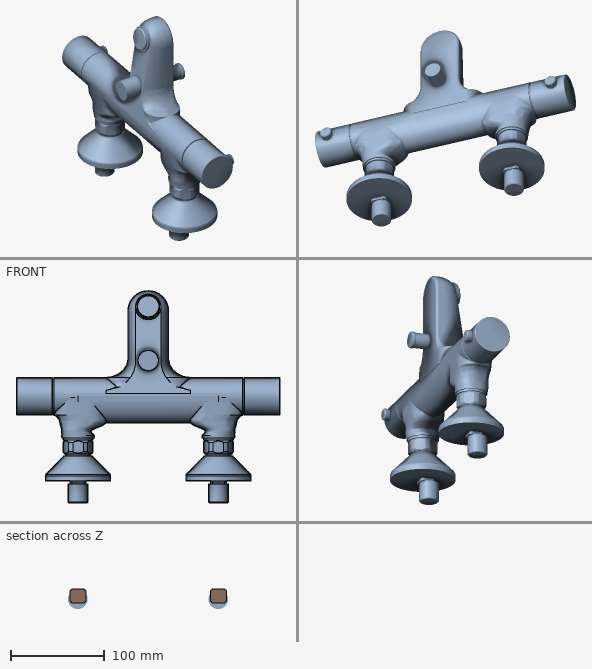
import cadquery as cq
import math


TOTAL_LENGTH = 281.88
BODY_DIAMETER = 40.0
BODY_HALF_LENGTH = 100.6
BELLY_DEPTH = 28.5
KNOB_DIAMETER = 39.6
KNOB_EDGE = 0.6
GROOVE_WIDTH = 1.6
GROOVE_DIAMETER = 37.0

PIN_OFFSET_X = 127.0
PIN_DIAMETER = 12.6
PIN_TIP_Y = 26.2
PIN_EDGE = 1.0

COLUMN_RADIUS = 21.8
COLUMN_TOP_Z = 112.7
DOME_CENTER_Z = COLUMN_TOP_Z - COLUMN_RADIUS
COLUMN_BACK_Y = 20.3
COLUMN_SIDE_END_Y = 11.0
COLUMN_BACK_EDGE = 3.0
FACE_HALF_WIDTH = 13.5
FACE_FOOT_Y = -20.0
FACE_FOOT_Z = 3.0
FACE_HEAD_Y = -6.0
FLARE_HEIGHT = 20.0
FLARE_CENTER_Z = BODY_DIAMETER / 2 + FLARE_HEIGHT
FLARE_HALF_WIDTH = 45.6
FLARE_RUN = FLARE_HALF_WIDTH - COLUMN_RADIUS
FLARE_BACK_RADIUS = 18.0
FLARE_SIDE_END_Y = 1.0
FACE_FOOT_HALF_WIDTH = 45.2
FACE_FLARE_RADIUS = FACE_FOOT_HALF_WIDTH - FACE_HALF_WIDTH
FACE_FLARE_CENTER_Z = 38.0
FLARE_STEPS = 5

SPOUT_Z = 38.1
SPOUT_DIAMETER = 21.8
SPOUT_TIP_Y = -32.6
OUTLET_NECK_DIAMETER = 11.2
OUTLET_NECK_END_Y = 22.7
OUTLET_DIAMETER = 16.5
OUTLET_TIP_Y = 42.42
OUTLET_RIM_DIAMETER = 18.0
OUTLET_RIM_LENGTH = 4.4
OUTLET_RIM_EDGE = 1.2
BUTTON_Z = 95.2
BUTTON_BASE_DIAMETER = 27.1
BUTTON_BASE_HEIGHT = 2.5
BUTTON_CAP_DIAMETER = 24.5
BUTTON_HEIGHT = 5.4
BUTTON_CAP_EDGE = 0.8
BUTTON_ROOT = 5.0

LEG_SPACING = 150.0
LEG_TOP_Z = -1.4
LEG_BOTTOM_Z = -44.8
LEG_FOOT_RADIUS = 17.4
LEG_FOOT_HALF_DEPTH = 17.4
LEG_TOP_SQUARENESS = 1.6
LEG_OUTLINE_STEPS = 12
LEG_TOP_HALF_DEPTH = 19.8
LEG_FILLET_BOTTOM_Z = -42.0
LEG_OUTER_RUN = 8.6
LEG_INNER_RUN = 13.8
LEG_STEPS = 4

COLLAR_DIAMETER = 32.0
NUT_TOP_Z = -47.0
NUT_BOTTOM_Z = -61.7
NUT_ACROSS_FLATS = 30.0
NUT_CORNER_DIAMETER = 32.0
NUT_END_DIAMETER = 29.0
NUT_BEVEL_HEIGHT = 2.4
SEAT_DIAMETER = 27.1
ROSETTE_TOP_Z = -63.6
ROSETTE_TOP_DIAMETER = 29.8
ROSETTE_SHOULDER_Z = -83.6
ROSETTE_SHOULDER_DIAMETER = 69.0
ROSETTE_DIAMETER = 70.0
ROSETTE_LIP_Z = -85.0
ROSETTE_BOTTOM_Z = -90.5
PIPE_TOP_Z = -93.6
PIPE_BOTTOM_Z = -114.0
PIPE_DIAMETER = 20.95
PIPE_OFFSET_Y = -7.1
PIPE_EDGE = 0.8
NECK_WIDTH = 17.2
NECK_DEPTH = 15.7
NECK_CORNER = 2.1
NECK_OFFSET_Y = -3.4

FACE_SLOPE = (FACE_HEAD_Y - FACE_FOOT_Y) / (DOME_CENTER_Z - FACE_FOOT_Z)


def rod_x(diameter, x_start, x_end):
    plane = cq.Workplane("YZ", origin=(x_start, 0, 0))
    return plane.circle(diameter / 2).extrude(x_end - x_start)


def rod_y(diameter, y_start, y_end, x=0.0, z=0.0):
    plane = cq.Workplane("XZ", origin=(x, y_start, z))
    return plane.circle(diameter / 2).extrude(y_start - y_end)


def rod_z(diameter, z_start, z_end, x=0.0, y=0.0):
    plane = cq.Workplane("XY", origin=(x, y, z_start))
    return plane.circle(diameter / 2).extrude(z_end - z_start)


def body():
    """Round bar between the knobs with a deeper half-elliptic belly between the legs."""
    bar = rod_x(BODY_DIAMETER, -BODY_HALF_LENGTH, BODY_HALF_LENGTH)
    belly = (
        cq.Workplane("YZ", origin=(-LEG_SPACING / 2, 0, 0))
        .ellipse(BODY_DIAMETER / 2, BELLY_DEPTH)
        .extrude(LEG_SPACING)
    )
    lower_half = cq.Workplane("XY").box(
        LEG_SPACING, BODY_DIAMETER, BELLY_DEPTH, centered=(True, True, False)
    ).translate((0, 0, -BELLY_DEPTH))
    return bar.union(belly.intersect(lower_half))


def knob(side):
    """End knob with its separating groove and the small button on its back."""
    knob_start = BODY_HALF_LENGTH + GROOVE_WIDTH
    grip = rod_x(KNOB_DIAMETER, knob_start, TOTAL_LENGTH / 2).edges().chamfer(KNOB_EDGE)
    core = rod_x(GROOVE_DIAMETER, BODY_HALF_LENGTH, knob_start)
    pin = rod_y(PIN_DIAMETER, 0, PIN_TIP_Y, x=PIN_OFFSET_X).faces(">Y").edges().chamfer(PIN_EDGE)
    right_knob = grip.union(core).union(pin)
    return right_knob if side > 0 else right_knob.mirror("YZ")


def face_y(z):
    """Y of the sloping front face at height z."""
    return FACE_FOOT_Y + FACE_SLOPE * (z - FACE_FOOT_Z)


def arc_middle(side_x, side_y, end_x, end_y):
    """Middle of the arc that leaves a side parallel to Y at one point and runs inwards to the other."""
    run = side_x - end_x
    depth = end_y - side_y
    radius = (run**2 + depth**2) / (2 * run)
    half_angle = math.atan2(run, abs(depth))
    x = side_x - radius * (1 - math.cos(half_angle))
    return x, side_y + math.copysign(radius * math.sin(half_angle), depth)


def column_section(z, half_width, face_half):
    """Closed horizontal outline: flat back, rounded back corners, bowed flanks, flat front."""
    front = face_y(z)
    flare_share = (half_width - COLUMN_RADIUS) / FLARE_RUN
    back_radius = COLUMN_BACK_EDGE + flare_share * (FLARE_BACK_RADIUS - COLUMN_BACK_EDGE)
    back_half = half_width - back_radius
    edge_y = COLUMN_BACK_Y - back_radius
    side_y = COLUMN_SIDE_END_Y + flare_share * (FLARE_SIDE_END_Y - COLUMN_SIDE_END_Y)
    arc_x, arc_y = arc_middle(half_width, side_y, face_half, front)
    outline = (
        cq.Workplane("XY", origin=(0, 0, z))
        .moveTo(-back_half, COLUMN_BACK_Y)
        .radiusArc((-half_width, edge_y), -back_radius)
        .lineTo(-half_width, side_y)
        .threePointArc((-arc_x, arc_y), (-face_half, front))
        .lineTo(face_half, front)
        .threePointArc((arc_x, arc_y), (half_width, side_y))
        .lineTo(half_width, edge_y)
        .radiusArc((back_half, COLUMN_BACK_Y), -back_radius)
        .close()
    )
    return outline.wires().val()


def flare_half_width(z):
    """Half width of the column outline: straight above, quarter ellipse onto the body below."""
    drop = min(max(FLARE_CENTER_Z - z, 0), FLARE_HEIGHT)
    return FLARE_HALF_WIDTH - FLARE_RUN * math.sqrt(1 - (drop / FLARE_HEIGHT) ** 2)


def face_half_width(z):
    """Half width of the flat front face, which spreads along an arc of its own."""
    drop = min(max(FACE_FLARE_CENTER_Z - z, 0), FACE_FLARE_RADIUS)
    return FACE_FOOT_HALF_WIDTH - math.sqrt(FACE_FLARE_RADIUS**2 - drop**2)


def column_loft(heights, ruled):
    sections = [column_section(z, flare_half_width(z), face_half_width(z)) for z in heights]
    return cq.Workplane(cq.Solid.makeLoft(sections, ruled))


def column_flare():
    """Trumpet foot that spreads the column onto the top of the body."""
    angles = [math.pi / 2 * step / FLARE_STEPS for step in range(FLARE_STEPS + 1)]
    upper_heights = [FLARE_CENTER_Z - FLARE_HEIGHT * math.sin(angle) for angle in angles]
    body_top = upper_heights[-1]
    drop = body_top - FACE_FOOT_Z
    lower_heights = [body_top - drop * math.sin(angle) for angle in angles]
    return column_loft(upper_heights, False).union(column_loft(lower_heights, True))


def behind_face():
    """Half space behind the sloping front face."""
    return (
        cq.Workplane("YZ", origin=(-BODY_HALF_LENGTH, 0, 0))
        .moveTo(face_y(0), 0)
        .lineTo(face_y(COLUMN_TOP_Z), COLUMN_TOP_Z)
        .lineTo(COLUMN_BACK_Y, COLUMN_TOP_Z)
        .lineTo(COLUMN_BACK_Y, 0)
        .close()
        .extrude(2 * BODY_HALF_LENGTH)
    )


def column_dome():
    """Top of the column: its cross-section turned about a Y axis."""
    arc_x, arc_y = arc_middle(COLUMN_RADIUS, COLUMN_SIDE_END_Y, FACE_HALF_WIDTH, FACE_HEAD_Y)
    edge_y = COLUMN_BACK_Y - COLUMN_BACK_EDGE
    edge_x = COLUMN_RADIUS - COLUMN_BACK_EDGE
    turned = (
        cq.Workplane("XY", origin=(0, 0, DOME_CENTER_Z))
        .moveTo(0, FACE_HEAD_Y)
        .lineTo(FACE_HALF_WIDTH, FACE_HEAD_Y)
        .threePointArc((arc_x, arc_y), (COLUMN_RADIUS, COLUMN_SIDE_END_Y))
        .lineTo(COLUMN_RADIUS, edge_y)
        .radiusArc((edge_x, COLUMN_BACK_Y), -COLUMN_BACK_EDGE)
        .lineTo(0, COLUMN_BACK_Y)
        .close()
        .revolve(180, (0, 0, 0), (0, -1, 0))
    )
    return turned.intersect(behind_face())


def column():
    shaft = column_loft([FLARE_CENTER_Z, DOME_CENTER_Z], True)
    return shaft.union(column_dome()).union(column_flare())


def spout():
    return rod_y(SPOUT_DIAMETER, 0, SPOUT_TIP_Y, z=SPOUT_Z)


def shower_outlet():
    """Hose connection on the back of the column."""
    neck = rod_y(OUTLET_NECK_DIAMETER, 0, OUTLET_NECK_END_Y, z=SPOUT_Z)
    barrel = rod_y(OUTLET_DIAMETER, OUTLET_NECK_END_Y, OUTLET_TIP_Y, z=SPOUT_Z)
    rim = rod_y(OUTLET_RIM_DIAMETER, OUTLET_TIP_Y - OUTLET_RIM_LENGTH, OUTLET_TIP_Y, z=SPOUT_Z)
    return neck.union(barrel).union(rim.edges().fillet(OUTLET_RIM_EDGE))


def diverter_button():
    """Stepped push button standing square on the sloping front face."""
    plane = cq.Plane(
        origin=(0, face_y(BUTTON_Z), BUTTON_Z), xDir=(1, 0, 0), normal=(0, -1, FACE_SLOPE)
    )
    start = cq.Workplane(plane).workplane(offset=-BUTTON_ROOT)
    base = start.circle(BUTTON_BASE_DIAMETER / 2).extrude(BUTTON_ROOT + BUTTON_BASE_HEIGHT)
    cap = (
        cq.Workplane(plane)
        .circle(BUTTON_CAP_DIAMETER / 2)
        .extrude(BUTTON_HEIGHT)
        .faces("<Y")
        .edges()
        .chamfer(BUTTON_CAP_EDGE)
    )
    return base.union(cap)


def leg_reach(z, run, fillet_top_z):
    """Reach of a leg from its axis: straight foot, then a quarter ellipse out to the body."""
    rise = min(max(z - LEG_FILLET_BOTTOM_Z, 0), fillet_top_z - LEG_FILLET_BOTTOM_Z)
    share = rise / (fillet_top_z - LEG_FILLET_BOTTOM_Z)
    return LEG_FOOT_RADIUS + run * (1 - math.sqrt(1 - share**2))


def leg_section(z):
    """Horizontal outline: a superellipse, round at the foot and squarer towards the body."""
    outer = leg_reach(z, LEG_OUTER_RUN, -BODY_DIAMETER / 2)
    inner = leg_reach(z, LEG_INNER_RUN, -BELLY_DEPTH)
    height_share = (z - LEG_BOTTOM_Z) / (LEG_TOP_Z - LEG_BOTTOM_Z)
    half_depth = LEG_FOOT_HALF_DEPTH + height_share * (LEG_TOP_HALF_DEPTH - LEG_FOOT_HALF_DEPTH)
    center_x = (LEG_SPACING + outer - inner) / 2
    exponent = 2 / (2 + height_share * LEG_TOP_SQUARENESS)
    points = []
    for step in range(LEG_OUTLINE_STEPS):
        angle = 2 * math.pi * step / LEG_OUTLINE_STEPS
        along = math.copysign(abs(math.cos(angle)) ** exponent, math.cos(angle))
        across = math.copysign(abs(math.sin(angle)) ** exponent, math.sin(angle))
        points.append(cq.Vector(center_x + along * (outer + inner) / 2, across * half_depth, z))
    return cq.Wire.assembleEdges([cq.Edge.makeSpline(points, periodic=True)])


def leg_loft(heights, ruled):
    return cq.Workplane(cq.Solid.makeLoft([leg_section(z) for z in heights], ruled))


def leg():
    """Leg on the +X side: sections blending from the round foot into the body."""
    rise = -BODY_DIAMETER / 2 - LEG_FILLET_BOTTOM_Z
    angles = [math.pi / 2 * step / LEG_STEPS for step in range(LEG_STEPS + 1)]
    fillet_heights = [LEG_FILLET_BOTTOM_Z + rise * math.sin(angle) for angle in angles]
    foot = leg_loft([LEG_BOTTOM_Z, LEG_FILLET_BOTTOM_Z], True)
    root = leg_loft([fillet_heights[-1], LEG_TOP_Z], True)
    return foot.union(leg_loft(fillet_heights, False)).union(root)


def union_nut():
    """Hexagon nut, flats facing Y, its corners turned down and bevelled at both ends."""
    height = NUT_TOP_Z - NUT_BOTTOM_Z
    hexagon = (
        cq.Workplane("XY", origin=(0, 0, NUT_BOTTOM_Z))
        .polygon(6, NUT_ACROSS_FLATS / math.cos(math.pi / 6))
        .extrude(height)
    )
    end_radius = NUT_END_DIAMETER / 2
    corner_radius = NUT_CORNER_DIAMETER / 2
    envelope = (
        cq.Workplane("XZ")
        .moveTo(0, NUT_BOTTOM_Z)
        .lineTo(end_radius, NUT_BOTTOM_Z)
        .lineTo(corner_radius, NUT_BOTTOM_Z + NUT_BEVEL_HEIGHT)
        .lineTo(corner_radius, NUT_TOP_Z - NUT_BEVEL_HEIGHT)
        .lineTo(end_radius, NUT_TOP_Z)
        .lineTo(0, NUT_TOP_Z)
        .close()
        .revolve(360, (0, 0, 0), (0, 1, 0))
    )
    return hexagon.intersect(envelope)


def rosette():
    """Conical wall cover with a flat rim."""
    return (
        cq.Workplane("XZ")
        .moveTo(0, ROSETTE_TOP_Z)
        .lineTo(ROSETTE_TOP_DIAMETER / 2, ROSETTE_TOP_Z)
        .lineTo(ROSETTE_SHOULDER_DIAMETER / 2, ROSETTE_SHOULDER_Z)
        .lineTo(ROSETTE_DIAMETER / 2, ROSETTE_LIP_Z)
        .lineTo(ROSETTE_DIAMETER / 2, ROSETTE_BOTTOM_Z)
        .lineTo(0, ROSETTE_BOTTOM_Z)
        .close()
        .revolve(360, (0, 0, 0), (0, 1, 0))
    )


def inlet_pipe():
    """Eccentric inlet: chamfered neck and the pipe end set off towards -Y."""
    neck = (
        cq.Workplane("XY", origin=(0, NECK_OFFSET_Y, PIPE_TOP_Z))
        .rect(NECK_WIDTH, NECK_DEPTH)
        .extrude(ROSETTE_BOTTOM_Z - PIPE_TOP_Z)
        .edges("|Z")
        .chamfer(NECK_CORNER)
    )
    pipe = rod_z(PIPE_DIAMETER, PIPE_BOTTOM_Z, PIPE_TOP_Z, y=PIPE_OFFSET_Y)
    return neck.union(pipe.faces("<Z").edges().chamfer(PIPE_EDGE))


def connection():
    """Everything below a leg, stacked on the Z axis."""
    collar = rod_z(COLLAR_DIAMETER, NUT_TOP_Z, LEG_BOTTOM_Z)
    seat = rod_z(SEAT_DIAMETER, ROSETTE_TOP_Z, NUT_BOTTOM_Z)
    return collar.union(union_nut()).union(seat).union(rosette()).union(inlet_pipe())


def leg_assembly(side):
    right_leg = leg().union(connection().translate((LEG_SPACING / 2, 0, 0)))
    return right_leg if side > 0 else right_leg.mirror("YZ")


mixer = body().union(column())
for fitting in (spout(), shower_outlet(), diverter_button()):
    mixer = mixer.union(fitting)
for side in (-1, 1):
    mixer = mixer.union(leg_assembly(side)).union(knob(side))

result = mixer